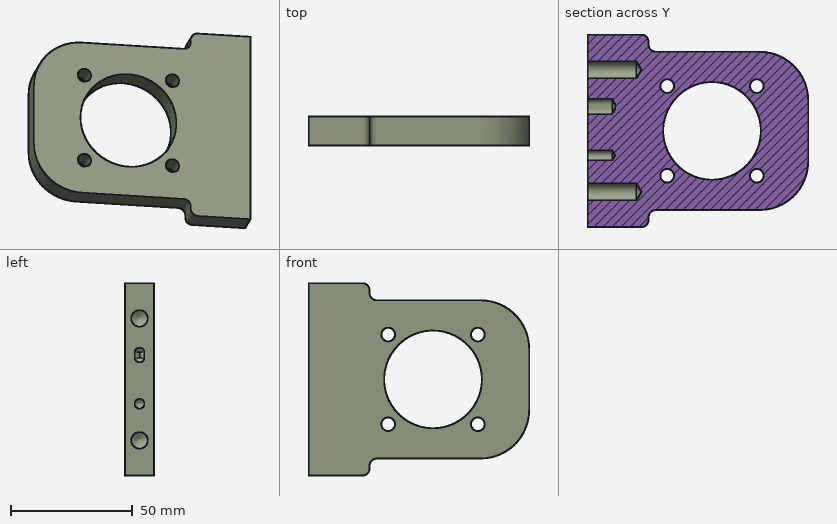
import cadquery as cq
import math

thickness = 12.0
length = 90.5
foot_height = 79.0
foot_length = 25.0
tongue_height = 65.0
shoulder_radius = 3.0
tongue_corner_radius = 20.0

bore_x = 51.0
bore_diameter = 40.0
screw_hole_diameter = 5.5
screw_circle_diameter = 52.0
screw_spacing = screw_circle_diameter / math.sqrt(2)

drill_tip_angle = 118.0
mount_hole_diameter = 6.8
mount_hole_depth = 20.0
mount_hole_z = 25.0
pin_diameter = 4.0
pin_depth = 10.0
pin_z = 10.0
pin_slot_length = 6.0


def make_plate():
    """Foot and tongue outline, centred on Y = 0 and Z = 0, with rounded corners."""
    foot = cq.Workplane("XY").box(foot_length, thickness, foot_height, centered=(False, True, True))
    tongue = cq.Workplane("XY").box(length, thickness, tongue_height, centered=(False, True, True))
    plate = foot.union(tongue)
    shoulder = cq.selectors.BoxSelector(
        (foot_length - shoulder_radius, -thickness, -foot_height),
        (foot_length + shoulder_radius, thickness, foot_height),
    )
    plate = plate.edges("|Y").edges(shoulder).fillet(shoulder_radius)
    return plate.faces(">X").edges("|Y").fillet(tongue_corner_radius)


def make_motor_cutter():
    """Through bore and its four screw holes."""
    face = cq.Workplane("XZ", origin=(bore_x, thickness / 2, 0))
    bore = face.circle(bore_diameter / 2).extrude(thickness)
    screws = (
        face.rect(screw_spacing, screw_spacing, forConstruction=True)
        .vertices()
        .circle(screw_hole_diameter / 2)
        .extrude(thickness)
    )
    return bore.union(screws)


def drill_profile(diameter, depth, z):
    """Half section of a drilled hole running along +X from the foot face."""
    radius = diameter / 2
    tip_length = radius / math.tan(math.radians(drill_tip_angle / 2))
    return (
        cq.Workplane("XY", origin=(0, 0, z))
        .lineTo(0, radius)
        .lineTo(depth, radius)
        .lineTo(depth + tip_length, 0)
        .close()
    )


def drilled_hole(diameter, depth, z):
    """Blind hole with a conical drill tip."""
    return drill_profile(diameter, depth, z).revolve(360, (0, 0, 0), (1, 0, 0))


def drilled_slot(diameter, depth, z, slot_length):
    """Slot along Z swept by the drill, leaving a V-shaped floor between conical ends."""
    travel = slot_length - diameter
    low_z = z - travel / 2
    half_web = drill_profile(diameter, depth, low_z).extrude(travel)
    web = half_web.union(half_web.mirror("XZ"))
    low_end = drilled_hole(diameter, depth, low_z)
    high_end = drilled_hole(diameter, depth, low_z + travel)
    return web.union(low_end).union(high_end)


result = make_plate().cut(make_motor_cutter())
for side in (-1, 1):
    result = result.cut(drilled_hole(mount_hole_diameter, mount_hole_depth, side * mount_hole_z))
result = result.cut(drilled_hole(pin_diameter, pin_depth, -pin_z))
result = result.cut(drilled_slot(pin_diameter, pin_depth, pin_z, pin_slot_length))